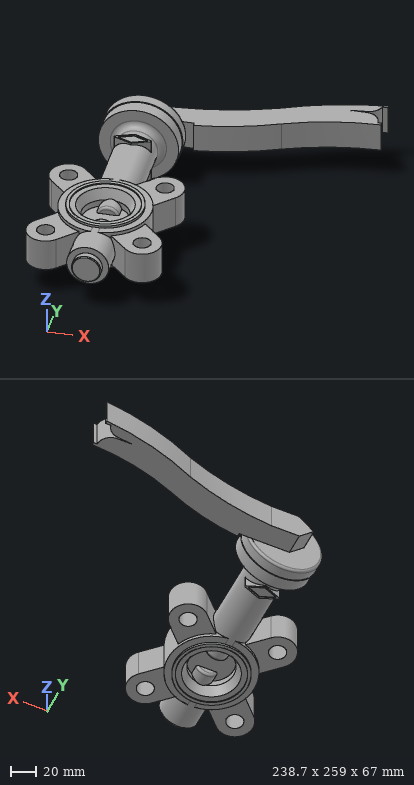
import cadquery as cq
import math


body_radius = 37.5
body_half_height = 16.8
rim_radius = 31.4
rim_half_height = 19.0
seat_radius = 28.5
seat_half_height = 18.0
bore_mouth_radius = 23.5
throat_radius = 19.5
throat_half_height = 9.0
butterfly_half_thickness = 3.4

lug_offset = 39.1
lug_radius = 15.8
lug_half_height = 13.7
lug_hole_diameter = 14.3

neck_radius = 17.0
neck_bottom = -60.5
neck_fillet = 5.7
flange_radius = 32.7
flange_bottom = 111.7
flange_top = 123.5

stem_end_radius = 12.0
stem_end = -66.0
stem_end_chamfer = 0.8
boss_radius = 9.8
boss_tip = 7.5
boss_round = 2.0

pad_position = 92.8
pad_half_length = 15.0
pad_half_width = 6.5
pad_half_height = 18.7
pad_border = 3.4
pad_tip_half_width = 0.5
pad_recess_depth = 0.8

hub_radius = 33.5
hub_top = 134.3
hub_round = 2.0

lever_half_height = 12.2
lever_tip_x = -16.5
wedge_length = 12.7
lever_top = 152.7
lever_bend_start_x = 20.7
lever_end_x = 183.8
lever_end_low = 166.1
lever_end_high = 193.0
end_lip_thickness = 2.5
lip_x = 40.0
lip_bottom = 131.2

top_hollow = (66.0, 159.7)
top_inflection = (99.8, 170.0)
top_crown = (140.0, 184.8)
under_crown = (145.2, 161.2)
under_inflection = (107.0, 149.3)
under_hollow = (74.0, 137.6)

notch_tip = (156.0, 180.5)
upper_lobe_x = 179.0
upper_lobe_middle = (176.3, 185.3)
upper_lobe_end = (170.0, 182.0)
lower_lobe_x = 180.7
lower_lobe_middle = (176.8, 177.3)
lower_lobe_start_x = 168.5


def neck_cylinder(radius, start, end):
    """Cylinder about the Y axis from y = start to y = end."""
    plane = cq.Workplane("XZ", origin=(0, start, 0))
    return plane.circle(radius).extrude(start - end)


def flat_disc(radius, half_height):
    """Disc about the Z axis, centred on z = 0."""
    return cq.Workplane("XY").circle(radius).extrude(half_height, both=True)


def make_lugs():
    """Four lugs on the diagonals, each with a round end and a bolt hole."""
    reach = lug_offset * math.sqrt(2)
    arm = (
        cq.Workplane("XY")
        .center(reach / 2, 0)
        .rect(reach, 2 * lug_radius)
        .extrude(lug_half_height, both=True)
    )
    lug = arm.union(flat_disc(lug_radius, lug_half_height).translate((reach, 0, 0)))
    lug = lug.cut(flat_disc(lug_hole_diameter / 2, lug_half_height).translate((reach, 0, 0)))
    lugs = cq.Workplane("XY")
    for quarter in range(4):
        lugs = lugs.union(lug.rotate((0, 0, 0), (0, 0, 1), 45 + 90 * quarter))
    return lugs


def make_neck():
    """Neck tube with its flange and the fillet between them, as one turned shape."""
    diagonal = neck_fillet * (1 - math.sqrt(0.5))
    return (
        cq.Workplane("XY")
        .moveTo(0, neck_bottom)
        .lineTo(neck_radius, neck_bottom)
        .lineTo(neck_radius, flange_bottom - neck_fillet)
        .threePointArc(
            (neck_radius + diagonal, flange_bottom - diagonal),
            (neck_radius + neck_fillet, flange_bottom),
        )
        .lineTo(flange_radius, flange_bottom)
        .lineTo(flange_radius, flange_top)
        .lineTo(0, flange_top)
        .close()
        .revolve(360, (0, 0, 0), (0, 1, 0))
    )


def diamond(half_length, half_width, base, top):
    """Diamond prism on the neck, blunt at its long ends, from z = base to z = top."""
    tip = pad_tip_half_width
    return (
        cq.Workplane("XY", origin=(0, pad_position, base))
        .polyline(
            [
                (half_length, -tip),
                (half_length, tip),
                (0, half_width),
                (-half_length, tip),
                (-half_length, -tip),
                (0, -half_width),
            ]
        )
        .close()
        .extrude(top - base)
    )


def make_pads():
    """Diamond pads on both sides of the neck, each with a shallow recess inside its border."""
    pads = diamond(pad_half_length, pad_half_width, -pad_half_height, pad_half_height)
    inner_length = pad_half_length - pad_border
    inner_width = pad_half_width * inner_length / pad_half_length
    floor = pad_half_height - pad_recess_depth
    pads = pads.cut(diamond(inner_length, inner_width, floor, pad_half_height))
    return pads.cut(diamond(inner_length, inner_width, -pad_half_height, -floor))


def make_passage():
    """Space inside the body: a shallow seat, a tapered mouth and a throat, above and below the butterfly."""
    upper = (
        cq.Workplane("XZ")
        .moveTo(0, butterfly_half_thickness)
        .lineTo(throat_radius, butterfly_half_thickness)
        .lineTo(throat_radius, throat_half_height)
        .lineTo(bore_mouth_radius, seat_half_height)
        .lineTo(seat_radius, seat_half_height)
        .lineTo(seat_radius, rim_half_height)
        .lineTo(0, rim_half_height)
        .close()
        .revolve(360, (0, 0, 0), (0, 1, 0))
    )
    return upper.union(upper.mirror("XY"))


def make_boss():
    """Stem boss on the +Y side of the bore, with a rounded tip."""
    boss_root = (throat_radius + rim_radius) / 2
    return neck_cylinder(boss_radius, boss_tip, boss_root).faces("<Y").edges().fillet(boss_round)


def make_housing():
    """Valve body, lugs, neck and closed butterfly."""
    stem = neck_cylinder(stem_end_radius, stem_end, neck_bottom).faces("<Y").chamfer(stem_end_chamfer)
    shell = flat_disc(body_radius, body_half_height)
    shell = shell.union(flat_disc(rim_radius, rim_half_height))
    shell = shell.union(make_lugs()).union(make_neck()).union(make_pads()).union(stem)
    boss = make_boss()
    return shell.cut(make_passage()).union(boss).union(boss.mirror("XZ"))


def make_hub():
    """Round hub that sits on the neck flange."""
    return neck_cylinder(hub_radius, flange_top, hub_top).faces(">Y").edges().fillet(hub_round)


def make_lever():
    """S-shaped lever with a notched free end and a wedge-shaped tip over the hub."""
    profile = (
        cq.Workplane("XY", origin=(0, 0, -lever_half_height))
        .moveTo(lever_tip_x, hub_top)
        .lineTo(lever_tip_x, lever_top)
        .lineTo(lever_bend_start_x, lever_top)
        .threePointArc(top_hollow, top_inflection)
        .threePointArc(top_crown, (lever_end_x, lever_end_high))
        .lineTo(lever_end_x, lever_end_high - end_lip_thickness)
        .lineTo(upper_lobe_x, lever_end_high - end_lip_thickness)
        .threePointArc(upper_lobe_middle, upper_lobe_end)
        .lineTo(*notch_tip)
        .lineTo(lower_lobe_start_x, notch_tip[1])
        .threePointArc(lower_lobe_middle, (lower_lobe_x, lever_end_low + end_lip_thickness))
        .lineTo(lever_end_x, lever_end_low + end_lip_thickness)
        .lineTo(lever_end_x, lever_end_low)
        .threePointArc(under_crown, under_inflection)
        .threePointArc(under_hollow, (lip_x, lip_bottom))
        .lineTo(lip_x, hub_top)
        .close()
    )
    lever = profile.extrude(2 * lever_half_height)
    wedge_end_x = lever_tip_x + wedge_length
    for side in (1, -1):
        corner = (
            cq.Workplane("XZ", origin=(0, hub_top, 0))
            .polyline(
                [
                    (lever_tip_x, 0),
                    (lever_tip_x, side * lever_half_height),
                    (wedge_end_x, side * lever_half_height),
                ]
            )
            .close()
            .extrude(hub_top - lever_top)
        )
        lever = lever.cut(corner)
    return lever


housing = make_housing()
handle = make_hub().union(make_lever())

result = cq.Compound.makeCompound([housing.val(), handle.val()])